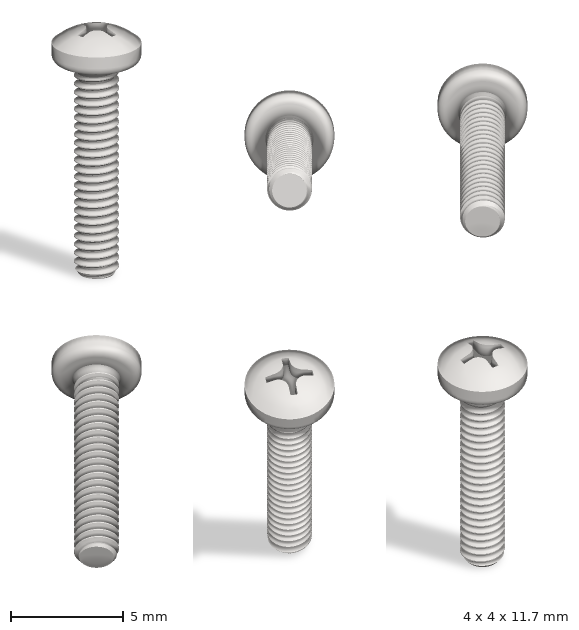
import cadquery as cq
import math

HEAD_RADIUS = 2.0
RIM_HEIGHT = 0.93
UNDERSIDE_RADIUS = 0.38
RIM_BREAK_WIDTH = 0.05
RIM_BREAK_HEIGHT = 0.035
DOME_HEIGHT = 1.695

RECESS_FLOOR = 1.08
FLOOR_ARM_WIDTH = 0.28
FLOOR_CORNER_RADIUS = 0.44
FLOOR_ARM_LENGTH = 1.0
TOP_ARM_WIDTH = 0.35
TOP_CORNER_RADIUS = 0.52
TOP_ARM_LENGTH = 1.11

SHANK_LENGTH = 10.0
THREAD_RADIUS = 1.0
CORE_RADIUS = 0.77
PITCH = 0.4
CREST_WIDTH = 0.05
FIRST_CREST = -0.074
FLANK_ANGLE = 30.0
TIP_ANGLE = 38.0
CREST_CLEARANCE = 0.2
ROOT_OVERLAP = 0.03

NECK_RADIUS = 1.07
NECK_LENGTH = 1.0


def make_head():
    """Revolved head with a domed top and a rounded lower edge."""
    rim_radius = HEAD_RADIUS - RIM_BREAK_WIDTH
    rim_top = RIM_HEIGHT + RIM_BREAK_HEIGHT
    dome_rise = DOME_HEIGHT - rim_top
    dome_radius = (rim_radius**2 + dome_rise**2) / (2 * dome_rise)
    mid_radius = rim_radius / 2
    mid_height = DOME_HEIGHT - dome_radius + math.sqrt(dome_radius**2 - mid_radius**2)
    profile = (
        cq.Workplane("XZ")
        .lineTo(HEAD_RADIUS - UNDERSIDE_RADIUS, 0)
        .radiusArc((HEAD_RADIUS, UNDERSIDE_RADIUS), -UNDERSIDE_RADIUS)
        .lineTo(HEAD_RADIUS, RIM_HEIGHT)
        .lineTo(rim_radius, rim_top)
        .threePointArc((mid_radius, mid_height), (0, DOME_HEIGHT))
        .close()
    )
    return profile.revolve(360, (0, 0, 0), (0, 1, 0))


def quarter_turn(point, quarters):
    """Turn a point about the axis by whole quarter turns."""
    x, y = point
    for _ in range(quarters):
        x, y = -y, x
    return x, y


def cross_outline(height, arm_width, corner_radius):
    """Cross with rounded inner corners, as a wire; its arms overshoot the final arm ends."""
    half = arm_width / 2
    bend_end = half + corner_radius
    bend_mid = half + corner_radius * (1 - math.sqrt(0.5))
    arm_end = 2 * TOP_ARM_LENGTH
    outline = cq.Workplane("XY", origin=(0, 0, height)).moveTo(arm_end, -half)
    for quarter in range(4):
        outline = (
            outline.lineTo(*quarter_turn((arm_end, half), quarter))
            .lineTo(*quarter_turn((bend_end, half), quarter))
            .threePointArc(
                quarter_turn((bend_mid, bend_mid), quarter),
                quarter_turn((half, bend_end), quarter),
            )
        )
        if quarter < 3:
            outline = outline.lineTo(*quarter_turn((arm_end, -half), quarter + 1))
    return outline.close().val()


def make_recess():
    """Cross-shaped cutter, wider towards the top, with arm ends on a cone about the axis."""
    floor = cross_outline(RECESS_FLOOR, FLOOR_ARM_WIDTH, FLOOR_CORNER_RADIUS)
    top = cross_outline(DOME_HEIGHT, TOP_ARM_WIDTH, TOP_CORNER_RADIUS)
    cross = cq.Workplane(cq.Solid.makeLoft([floor, top], True))
    depth = DOME_HEIGHT - RECESS_FLOOR
    cone = cq.Solid.makeCone(FLOOR_ARM_LENGTH, TOP_ARM_LENGTH, depth, cq.Vector(0, 0, RECESS_FLOOR))
    return cross.intersect(cq.Workplane(cone))


def make_core():
    """Plain cylinder that carries the thread."""
    return cq.Workplane("XY").circle(CORE_RADIUS).extrude(-SHANK_LENGTH)


def make_neck():
    """Concave flare that blends the core into the head."""
    flare = NECK_RADIUS - CORE_RADIUS
    arc_radius = (flare**2 + NECK_LENGTH**2) / (2 * flare)
    profile = (
        cq.Workplane("XZ")
        .lineTo(NECK_RADIUS, 0)
        .radiusArc((CORE_RADIUS, -NECK_LENGTH), -arc_radius)
        .lineTo(0, -NECK_LENGTH)
        .close()
    )
    return profile.revolve(360, (0, 0, 0), (0, 1, 0))


def make_ridge():
    """Helical ridge from past the tip up into the head, its root sunk into the core."""
    turns = math.ceil(SHANK_LENGTH / PITCH) + 1
    height = turns * PITCH
    base_z = FIRST_CREST - height
    root_radius = CORE_RADIUS - ROOT_OVERLAP
    crest_half = CREST_WIDTH / 2
    root_half = crest_half + (THREAD_RADIUS - root_radius) * math.tan(math.radians(FLANK_ANGLE))
    path = cq.Wire.makeHelix(PITCH, height, root_radius, center=cq.Vector(0, 0, base_z))
    return (
        cq.Workplane("XZ", origin=(0, 0, base_z))
        .moveTo(root_radius, -root_half)
        .lineTo(THREAD_RADIUS, -crest_half)
        .lineTo(THREAD_RADIUS, crest_half)
        .lineTo(root_radius, root_half)
        .close()
        .sweep(path, isFrenet=True)
    )


def make_tip_envelope():
    """Space the ridge may fill: a cone at the tip, then a loose cylinder reaching into the head."""
    radius = THREAD_RADIUS + CREST_CLEARANCE
    top = RIM_HEIGHT / 2
    cone_height = (radius - CORE_RADIUS) / math.tan(math.radians(TIP_ANGLE))
    profile = (
        cq.Workplane("XZ")
        .moveTo(0, -SHANK_LENGTH)
        .lineTo(CORE_RADIUS, -SHANK_LENGTH)
        .lineTo(radius, -SHANK_LENGTH + cone_height)
        .lineTo(radius, top)
        .lineTo(0, top)
        .close()
    )
    return profile.revolve(360, (0, 0, 0), (0, 1, 0))


thread = make_ridge().intersect(make_tip_envelope())
shank = make_core().union(thread)
head = make_head().cut(make_recess()).union(make_neck())
result = shank.union(head)